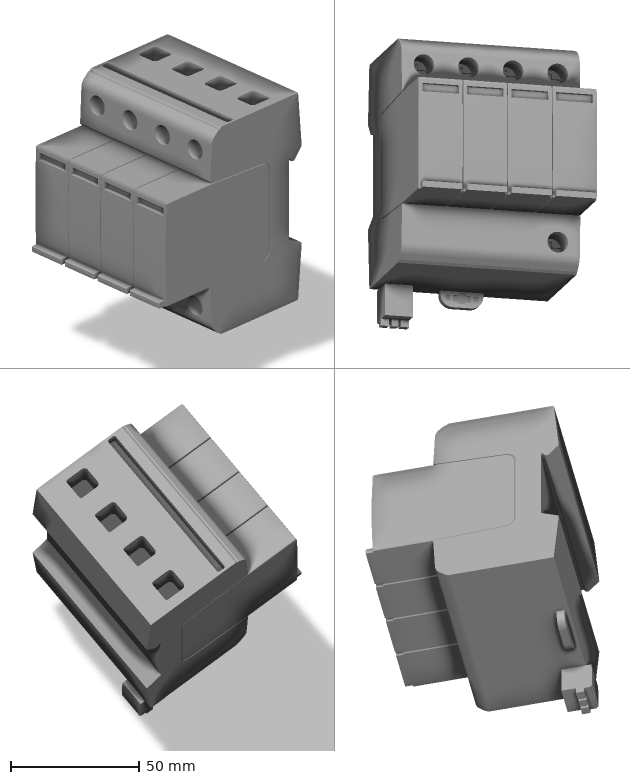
import cadquery as cq


poles = 4
width = 72.0
pitch = width / poles
height = 90.2
total_height = 105.6
pole_x = [(i - (poles - 1) / 2) * pitch for i in range(poles)]

front_y = -43.1
shoulder_y = -42.2
shoulder_drop = 4.2
shoulder_radius = 5.2
ledge_drop = 0.8
ledge_edge_y = -37.1
ledge_inner_y = -37.8
ledge_outer_y = -38.5
back_edge_y = 5.1
back_foot_y = 7.1
hook_top_z = 66.4
hook_tip_z = 61.5
hook_tip_back_y = 3.0
hook_tip_front_y = 1.7
hook_seat_y = 0.8
rail_top_z = 63.0
rail_bottom_z = 27.7
lower_foot_z = 24.3

module_height = 45.0
module_mid_z = 44.8
module_back_y = -10.5
module_corner_radius = 4.2
module_taper = 1.5
taper_end_y = -43.7
module_edge_y = -67.2
module_front_y = -67.7
module_gap = 0.3
module_bevel = 0.26
module_brow_height = 0.8
module_top_z = module_mid_z + module_height / 2
module_bottom_z = module_mid_z - module_height / 2
groove = 0.26
lip_bevel = 0.7

window_width = 14.8
window_height = 3.4
window_top_z = 64.9
window_depth = 2.1
tab_width = 16.2
tab_height = 2.5
tab_front_y = -70.2
tab_bevel = 0.3

screw_diameter = 8.2
screw_edge_distance = 11.2
screw_floor_y = -31.7
cross_width = 1.2
cross_length = 8.0
cross_height = 5.5
cross_depth = 1.1

entry_width = 9.5
entry_front_y = -15.6
entry_back_y = -5.9
entry_front_radius = 1.7
entry_back_radius = 1.0
entry_depth = 12.7
slot_length = 69.9
slot_front_y = -32.7
slot_back_y = -29.0
slot_radius = 1.0
slot_depth = 5.3

plug_inset = 3.7
plug_left_x = plug_inset - width / 2
plug_width = 11.3
plug_front_y = -4.8
plug_back_y = 7.6
plug_root_y = 7.3
plug_draft_end_z = -4.6
plug_height = 12.7
plug_step_z = -13.3
plug_step_y = 6.9
teeth_back_y = 4.3
teeth_front_y = 1.1
teeth_bottom_z = height - total_height
tooth_gaps = ((3.1, 1.3), (7.0, 1.0))

foot_width = 17.3
foot_height = 6.3
foot_front_y = 0.0
foot_thickness = 3.2
foot_radius = 5.0
foot_recess_depth = 0.6
foot_recess_z = -2.6
foot_boss_radius = 2.2
foot_bar_length = 7.1
foot_bar_height = 2.5
foot_pocket_x = 5.7
foot_pocket_size = 1.9
foot_pocket_radius = 1.3
foot_pocket_upper_radius = 0.4

overlap = 1.1
pick_margin = 0.05


def box(x0, x1, y0, y1, z0, z1):
    """Box between two opposite corners."""
    return cq.Workplane("XY").box(x1 - x0, y1 - y0, z1 - z0, centered=False).translate((x0, y0, z0))


def side_prism(outline, x_start, length):
    """Extrude a closed (Y, Z) outline along +X."""
    return cq.Workplane("YZ", origin=(x_start, 0, 0)).polyline(outline).close().extrude(length)


def edges_at(body, y, z):
    """Edge along X that passes through the given (Y, Z)."""
    low_corner = (-width, y - pick_margin, z - pick_margin)
    high_corner = (width, y + pick_margin, z + pick_margin)
    selector = cq.selectors.BoxSelector(low_corner, high_corner)
    return body.edges("|X").edges(selector)


def make_base():
    base = side_prism(
        [
            (back_edge_y, 0),
            (ledge_edge_y, 0),
            (ledge_outer_y, ledge_drop),
            (shoulder_y, shoulder_drop),
            (front_y, module_bottom_z),
            (front_y, module_top_z),
            (shoulder_y, height - shoulder_drop),
            (ledge_outer_y, height - ledge_drop),
            (ledge_inner_y, height - ledge_drop),
            (ledge_edge_y, height),
            (back_edge_y, height),
            (back_foot_y, hook_top_z),
            (hook_tip_back_y, hook_tip_z),
            (hook_tip_front_y, hook_tip_z),
            (hook_seat_y, rail_top_z),
            (0, rail_top_z),
            (0, rail_bottom_z),
            (back_foot_y, lower_foot_z),
        ],
        -width / 2,
        width,
    )
    for z in (shoulder_drop, height - shoulder_drop):
        base = edges_at(base, shoulder_y, z).fillet(shoulder_radius)
    return base


def module_blank(x_start, length):
    """Module side profile: tapered plug-in end at the back, bulged face at the front."""
    blank = (
        cq.Workplane("YZ", origin=(x_start, 0, 0))
        .moveTo(module_edge_y, module_bottom_z)
        .lineTo(taper_end_y, module_bottom_z)
        .lineTo(module_back_y, module_bottom_z + module_taper)
        .lineTo(module_back_y, module_top_z - module_taper)
        .lineTo(taper_end_y, module_top_z)
        .lineTo(module_edge_y, module_top_z)
        .threePointArc((module_front_y, module_mid_z), (module_edge_y, module_bottom_z))
        .close()
        .extrude(length)
    )
    return blank.faces(">Y").edges("|X").fillet(module_corner_radius)


def cut_seams(base):
    """Seam around the module outline on both side faces, and the bevelled lip above the modules."""
    for x_start in (-width / 2, width / 2 - groove):
        seam = (
            cq.Workplane("YZ", origin=(x_start, 0, 0))
            .add(module_blank(x_start, groove).faces("<X").wires().vals())
            .toPending()
            .offset2D(groove)
            .extrude(groove)
        )
        base = base.cut(seam)
    lip_z = module_top_z + groove
    lip = [
        (front_y - overlap, module_top_z),
        (front_y + lip_bevel, module_top_z),
        (front_y + lip_bevel, lip_z),
        (front_y, lip_z + lip_bevel),
        (front_y - overlap, lip_z + lip_bevel),
    ]
    return base.cut(side_prism(lip, -width / 2, width))


def make_module(x, x_left, x_right):
    module = module_blank(x_left, x_right - x_left)
    brow = [
        (module_edge_y, module_top_z - module_brow_height),
        (module_edge_y + module_bevel, module_top_z),
        (module_front_y, module_top_z),
        (module_front_y, module_top_z - module_brow_height),
    ]
    module = module.cut(side_prism(brow, x_left, x_right - x_left))
    module = module.faces(">Z").edges("|Y").chamfer(module_bevel)
    window = box(
        x - window_width / 2, x + window_width / 2,
        module_front_y, module_front_y + window_depth,
        window_top_z - window_height, window_top_z,
    )
    tab = box(
        x - tab_width / 2, x + tab_width / 2,
        tab_front_y, module_edge_y + overlap,
        module_bottom_z, module_bottom_z + tab_height,
    )
    tab = tab.faces("<Y").edges(">Z").chamfer(tab_bevel)
    return module.cut(window).union(tab)


def make_modules():
    """One module per pole, parted by narrow gaps and flush with the base at both ends."""
    modules = []
    for i, x in enumerate(pole_x):
        left_gap = 0 if i == 0 else module_gap / 2
        right_gap = 0 if i == poles - 1 else module_gap / 2
        modules.append(make_module(x, x - pitch / 2 + left_gap, x + pitch / 2 - right_gap))
    return modules


def screw_well(x, z):
    """Access hole from the front, with the cross slot of the screw in its floor."""
    depth = screw_floor_y - front_y
    floor = cq.Workplane("XZ", origin=(x, screw_floor_y, z))
    well = floor.circle(screw_diameter / 2).extrude(depth)
    long_slot = floor.rect(cross_length, cross_width).extrude(-cross_depth)
    short_slot = floor.rect(cross_width, cross_height).extrude(-cross_depth)
    return well.union(long_slot).union(short_slot)


def wire_entry(x):
    entry = box(
        x - entry_width / 2, x + entry_width / 2,
        entry_front_y, entry_back_y,
        height - entry_depth, height,
    )
    entry = entry.faces("<Y").edges("|Z").fillet(entry_front_radius)
    return entry.faces(">Y").edges("|Z").fillet(entry_back_radius)


def marker_slot():
    slot = box(-slot_length / 2, slot_length / 2, slot_front_y, slot_back_y, height - slot_depth, height)
    return slot.edges("|Z").fillet(slot_radius)


def make_plug():
    plug = side_prism(
        [
            (plug_front_y, overlap),
            (plug_front_y, -plug_height),
            (teeth_front_y, -plug_height),
            (teeth_front_y, teeth_bottom_z),
            (teeth_back_y, teeth_bottom_z),
            (teeth_back_y, plug_step_z),
            (plug_step_y, plug_step_z),
            (plug_step_y, -plug_height),
            (plug_back_y, -plug_height),
            (plug_back_y, plug_draft_end_z),
            (plug_root_y, 0),
            (back_edge_y - overlap, 0),
            (back_edge_y - overlap, overlap),
        ],
        plug_left_x,
        plug_width,
    )
    for start, gap in tooth_gaps:
        x = plug_left_x + start
        plug = plug.cut(box(x, x + gap, teeth_front_y, teeth_back_y, teeth_bottom_z, -plug_height))
    return plug


def make_release_foot():
    foot = box(
        -foot_width / 2, foot_width / 2,
        foot_front_y, foot_front_y + foot_thickness,
        -foot_height, overlap,
    )
    foot = foot.faces("<Z").edges("|Y").fillet(foot_radius)
    face = cq.Workplane("XZ", origin=(0, foot_front_y, foot_recess_z))
    foot = foot.cut(face.circle(foot_boss_radius).extrude(-foot_recess_depth))
    foot = foot.cut(face.rect(foot_bar_length, foot_bar_height).extrude(-foot_recess_depth))
    for side, outer in ((-1, "<X"), (1, ">X")):
        pocket = face.center(side * foot_pocket_x, 0).rect(foot_pocket_size, foot_pocket_size)
        pocket = pocket.extrude(-foot_recess_depth)
        pocket = pocket.faces(outer).edges("<Z").fillet(foot_pocket_radius)
        pocket = pocket.faces(outer).edges(">Z").fillet(foot_pocket_upper_radius)
        foot = foot.cut(pocket)
    return foot


result = cut_seams(make_base())
for module in make_modules():
    result = result.union(module)

for x in pole_x:
    result = result.cut(screw_well(x, height - screw_edge_distance))
    result = result.cut(wire_entry(x))
result = result.cut(screw_well(pole_x[-1], screw_edge_distance))
result = result.cut(marker_slot())

result = result.union(make_plug()).union(make_release_foot())